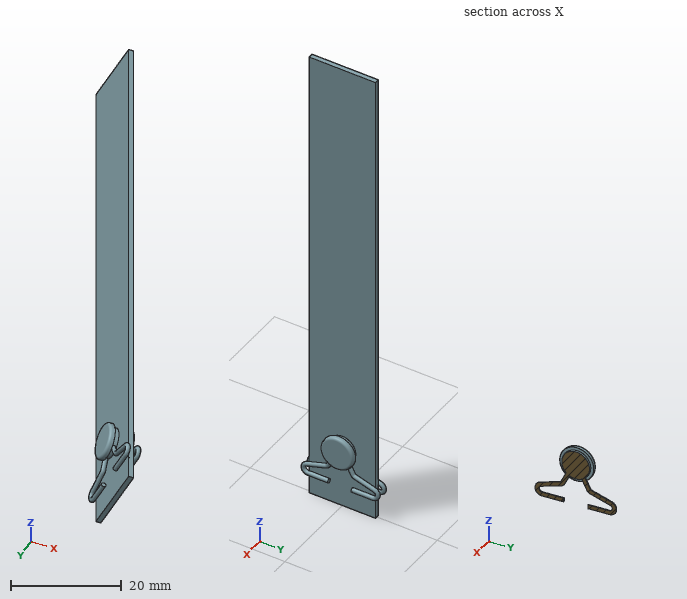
import cadquery as cq
import math

STRIP_THICKNESS = 1.0
STRIP_WIDTH = 14.2
STRIP_HEIGHT = 100.0

OVERALL_DEPTH = 5.0
BUTTON_Z = 13.0
DISC_RADIUS = 3.5
DISC_THICKNESS = 1.0
DISC_EDGE_FILLET = 0.5
HUB_RADIUS = 2.9

CLIP_WIDTH = 16.8
ARM_SLOPE = math.radians(17)
LEG_ANGLE = math.radians(63)
LOOP_RADIUS = 1.0
ELBOW_RADIUS = 0.7
ELBOW_Y = 2.8
LOWER_ARM_Z = 5.0
LOWER_ARM_END_Y = 2.5
WIRE_DIAMETER = 0.9

STRIP_FACE_X = STRIP_THICKNESS / 2
HUB_LENGTH = OVERALL_DEPTH / 2 - DISC_THICKNESS - STRIP_FACE_X
WIRE_X = STRIP_FACE_X + HUB_LENGTH - WIRE_DIAMETER / 2


def make_strip():
    return cq.Workplane("XY").box(
        STRIP_THICKNESS, STRIP_WIDTH, STRIP_HEIGHT, centered=(True, True, False)
    )


def make_button():
    """Hub and disc pointing along +X from the strip face."""
    hub = (
        cq.Workplane("YZ", origin=(STRIP_FACE_X, 0, BUTTON_Z))
        .circle(HUB_RADIUS)
        .extrude(HUB_LENGTH)
    )
    disc = (
        cq.Workplane("YZ", origin=(STRIP_FACE_X + HUB_LENGTH, 0, BUTTON_Z))
        .circle(DISC_RADIUS)
        .extrude(DISC_THICKNESS)
        .faces(">X")
        .edges()
        .fillet(DISC_EDGE_FILLET)
    )
    return hub.union(disc)


def make_arm():
    """Round wire on the +Y side: lower arm, return bend, upper arm, elbow and leg."""
    loop_y = CLIP_WIDTH / 2 - WIRE_DIAMETER / 2 - LOOP_RADIUS
    loop_z = LOWER_ARM_Z + LOOP_RADIUS
    loop_end = (
        loop_y + LOOP_RADIUS * math.sin(ARM_SLOPE),
        loop_z + LOOP_RADIUS * math.cos(ARM_SLOPE),
    )

    elbow_z = loop_end[1] + (loop_end[0] - ELBOW_Y) * math.tan(ARM_SLOPE)
    leg_direction = (-math.cos(LEG_ANGLE), math.sin(LEG_ANGLE))
    arm_direction = (math.cos(ARM_SLOPE), -math.sin(ARM_SLOPE))

    half_turn = (LEG_ANGLE - ARM_SLOPE) / 2
    setback = ELBOW_RADIUS * math.tan(half_turn)
    apex_offset = ELBOW_RADIUS / math.cos(half_turn) - ELBOW_RADIUS
    bisector_angle = math.pi / 2 - (LEG_ANGLE + ARM_SLOPE) / 2
    elbow_start = (ELBOW_Y + setback * arm_direction[0], elbow_z + setback * arm_direction[1])
    elbow_middle = (
        ELBOW_Y + apex_offset * math.cos(bisector_angle),
        elbow_z + apex_offset * math.sin(bisector_angle),
    )
    elbow_end = (ELBOW_Y + setback * leg_direction[0], elbow_z + setback * leg_direction[1])

    leg_length = math.hypot(ELBOW_Y, BUTTON_Z - elbow_z) - HUB_RADIUS / 2
    leg_end = (ELBOW_Y + leg_length * leg_direction[0], elbow_z + leg_length * leg_direction[1])

    path = (
        cq.Workplane("YZ", origin=(WIRE_X, 0, 0))
        .moveTo(LOWER_ARM_END_Y, LOWER_ARM_Z)
        .lineTo(loop_y, LOWER_ARM_Z)
        .threePointArc((loop_y + LOOP_RADIUS, loop_z), loop_end)
        .lineTo(*elbow_start)
        .threePointArc(elbow_middle, elbow_end)
        .lineTo(*leg_end)
    )
    return (
        cq.Workplane("XZ", origin=(WIRE_X, LOWER_ARM_END_Y, LOWER_ARM_Z))
        .circle(WIRE_DIAMETER / 2)
        .sweep(path)
    )


def make_clip():
    """Clip on the +X side of the strip: a button with two mirrored wire arms."""
    arm = make_arm()
    return make_button().union(arm).union(arm.mirror("XZ"))


strip = make_strip()
clips = []
for turn in (0, 180):
    clips.append(make_clip().rotate((0, 0, 0), (0, 0, 1), turn))

result = cq.Compound.makeCompound([strip.val(), *[clip.val() for clip in clips]])